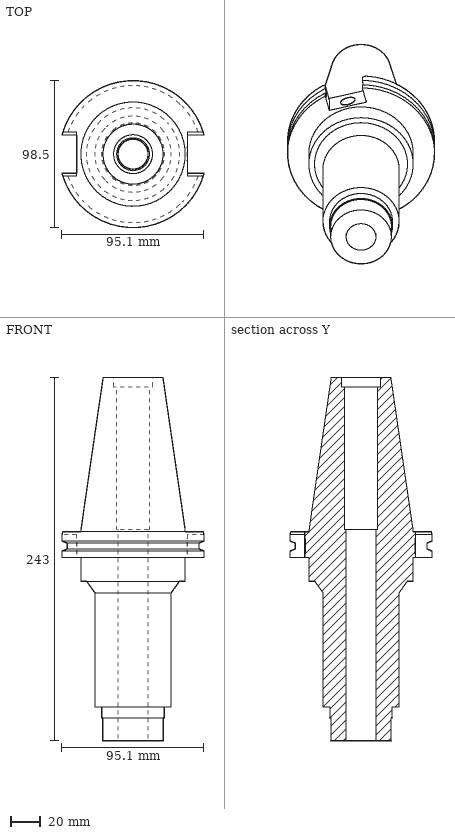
import cadquery as cq
import math

total_height = 243.0
gauge_height = 141.5
flange_top = 140.0
flange_bottom = 122.5
groove_height = 130.2
collar_bottom = 106.7
shank_top = 99.0
shank_bottom = 22.5
nose_top = 15.3

taper_ratio = 7 / 24
gauge_diameter = 69.7
taper_end_diameter = gauge_diameter - taper_ratio * (total_height - gauge_height)
flange_diameter = 98.5
collar_diameter = gauge_diameter
cone_diameter = 62.2
shank_diameter = 51.0
step_diameter = 42.0
nose_diameter = 40.5

groove_diameter = 91.9
groove_floor_width = 4.0
groove_mouth_width = 6.5

slot_width = 25.5
deep_slot_floor_x = 36.5
shallow_slot_floor_x = -37.7
slot_chamfer = 2.0
plug_diameter = 10.0
plug_recess = 0.2

tool_bore_diameter = 20.0
upper_bore_diameter = 21.9
counterbore_diameter = 26.0
counterbore_depth = 6.3


def make_body():
    """Revolve the stepped outer profile about Z."""
    profile = [
        (0, 0),
        (nose_diameter / 2, 0),
        (nose_diameter / 2, nose_top),
        (step_diameter / 2, nose_top),
        (step_diameter / 2, shank_bottom),
        (shank_diameter / 2, shank_bottom),
        (shank_diameter / 2, shank_top),
        (cone_diameter / 2, collar_bottom),
        (collar_diameter / 2, collar_bottom),
        (collar_diameter / 2, flange_bottom),
        (flange_diameter / 2, flange_bottom),
        (flange_diameter / 2, groove_height - groove_mouth_width / 2),
        (groove_diameter / 2, groove_height - groove_floor_width / 2),
        (groove_diameter / 2, groove_height + groove_floor_width / 2),
        (flange_diameter / 2, groove_height + groove_mouth_width / 2),
        (flange_diameter / 2, flange_top),
        (gauge_diameter / 2, flange_top),
        (gauge_diameter / 2, gauge_height),
        (taper_end_diameter / 2, total_height),
        (0, total_height),
    ]
    return cq.Workplane("XZ").polyline(profile).close().revolve(360, (0, 0), (0, 1))


def make_drive_slot(floor_x):
    """Slot cutter with chamfered top edges and a shallow plug seat, open outward from floor_x."""
    side = math.copysign(1, floor_x)
    half_width = slot_width / 2
    half_mouth = half_width + slot_chamfer
    outline = [
        (-half_width, flange_bottom),
        (half_width, flange_bottom),
        (half_width, flange_top - slot_chamfer),
        (half_mouth, flange_top),
        (-half_mouth, flange_top),
        (-half_width, flange_top - slot_chamfer),
    ]
    floor_plane = cq.Workplane("YZ", origin=(floor_x, 0, 0))
    slot = floor_plane.polyline(outline).close().extrude(side * flange_diameter / 2)
    plug_seat = floor_plane.center(0, groove_height).circle(plug_diameter / 2).extrude(-side * plug_recess)
    return slot.union(plug_seat)


def make_bore():
    """Tool bore from the nose, wider bore through the taper, counterbore at the taper end."""
    tool_bore = cq.Workplane("XY").circle(tool_bore_diameter / 2).extrude(total_height)
    upper_bore = (
        cq.Workplane("XY", origin=(0, 0, gauge_height))
        .circle(upper_bore_diameter / 2)
        .extrude(total_height - gauge_height)
    )
    counterbore = (
        cq.Workplane("XY", origin=(0, 0, total_height - counterbore_depth))
        .circle(counterbore_diameter / 2)
        .extrude(counterbore_depth)
    )
    return tool_bore.union(upper_bore).union(counterbore)


result = make_body().cut(make_bore())
for floor_x in (deep_slot_floor_x, shallow_slot_floor_x):
    result = result.cut(make_drive_slot(floor_x))